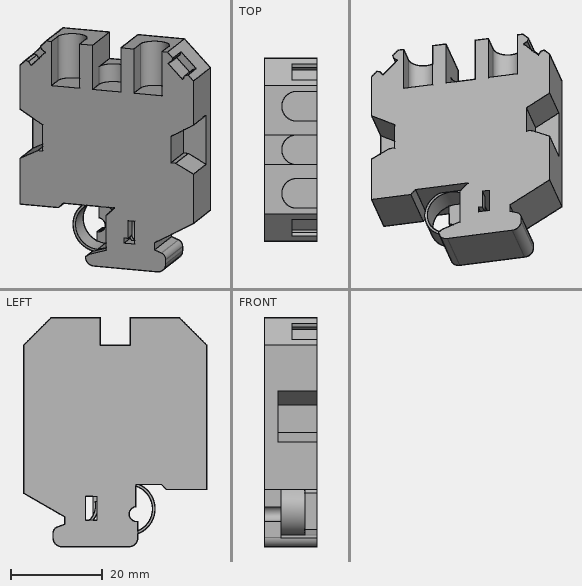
import cadquery as cq

width = 11.5
length = 40.0
height = 50.0
mid_y = length / 2

corner_chamfer = 6.0
top_slot_width = 6.5
top_slot_depth = 6.0
body_front_z = 12.5
body_back_z = 11.7
undercut_z = 13.6
undercut_front_y = 8.85
undercut_slope_end_y = 9.9

neck_front_y = 15.5
foot_front_y = 15.05
foot_back_y = 33.6
neck_back_y = 31.05
neck_back_top_z = 6.55
neck_back_bottom_z = 4.95
foot_shoulder_z = 4.0
foot_radius = 2.0
shoulder_radius = 1.5
notch_radius = 1.6
notch_y = 15.35
notch_z = 7.15

well_width = top_slot_width
well_left_x = 3.8
well_floor_z = 40.0
well_pitch = 9.5

entry_left_x = 3.0
entry_depth = 5.2
entry_top_z = 34.0
entry_roof_back_z = 30.95
entry_floor_z = 25.0
entry_sill_z = 22.9
entry_sill_depth = 4.1

marker_left_x = 6.0
marker_lip_margin = 1.25
marker_wall_drop = 2.0
marker_wall_inset = 1.0
marker_floor_drop = 2.55
marker_floor_inset = 0.15

chamber_left_x = 3.6
chamber_back_y = 19.85
chamber_step_y = 16.0
chamber_lip_z = 1.95
chamber_step_z = 2.6
chamber_rear_floor_z = 3.85
chamber_rear_top_z = 11.75

window_front_y = 24.0
window_back_y = 26.45
window_bottom_z = 5.85
window_top_z = 11.0
stop_back_y = 24.9
stop_bottom_z = 7.0

spring_width = 5.25
spring_right_x = chamber_left_x + spring_width
spring_thickness = 0.6
spring_radius = 5.8
spring_y = 17.1
spring_z = 8.3
pad_front_y = 16.95
pad_back_y = 18.9
pad_front_z = 3.1
pad_back_z = 3.65
tail_radius = 4.65
tail_z = 9.0
tail_top_z = 9.9


def prism(points, start_x, end_x):
    """Extrude a closed (y, z) outline from start_x to end_x."""
    return cq.Workplane("YZ", origin=(start_x, 0, 0)).polyline(points).close().extrude(end_x - start_x)


def disc(center_y, center_z, radius, start_x, end_x):
    """Solid cylinder along X."""
    sketch = cq.Workplane("YZ", origin=(start_x, 0, 0)).center(center_y, center_z)
    return sketch.circle(radius).extrude(end_x - start_x)


def block(start, end):
    """Box between two opposite corners."""
    size = [high - low for low, high in zip(start, end)]
    return cq.Workplane("XY").box(*size, centered=False).translate(start)


def mirrored_pair(solid):
    """The solid together with its mirror image about the middle of the length."""
    return solid.union(solid.mirror("XZ", (0, mid_y, 0)))


def round_edge(solid, y, z, radius):
    """Fillet the edge along X that passes through (y, z)."""
    edge = cq.selectors.NearestToPointSelector((width / 2, y, z))
    return solid.edges("|X").edges(edge).fillet(radius)


def make_body():
    """Side outline of the block at full thickness, with the foot corners rounded."""
    slot_front_y = mid_y - top_slot_width / 2
    slot_back_y = mid_y + top_slot_width / 2
    slot_floor_z = height - top_slot_depth
    shoulder_z = height - corner_chamfer
    outline = [
        (0, body_front_z),
        (0, shoulder_z),
        (corner_chamfer, height),
        (slot_front_y, height),
        (slot_front_y, slot_floor_z),
        (slot_back_y, slot_floor_z),
        (slot_back_y, height),
        (length - corner_chamfer, height),
        (length, shoulder_z),
        (length, body_back_z),
        (neck_back_y, neck_back_top_z),
        (neck_back_y, neck_back_bottom_z),
        (foot_back_y, foot_shoulder_z),
        (foot_back_y, 0),
        (foot_front_y, 0),
        (foot_front_y, notch_z - notch_radius),
        (neck_front_y, notch_z - notch_radius),
        (neck_front_y, undercut_z),
        (undercut_slope_end_y, undercut_z),
        (undercut_front_y, body_front_z),
    ]
    body = prism(outline, 0, width)
    body = round_edge(body, foot_front_y, 0, foot_radius)
    body = round_edge(body, foot_back_y, 0, foot_radius)
    body = round_edge(body, foot_back_y, foot_shoulder_z, shoulder_radius)
    return body.cut(disc(notch_y, notch_z, notch_radius, 0, width))


def screw_well(center_y):
    """Well open at the top and at x = width, with a half-round closed end."""
    radius = well_width / 2
    arc_x = well_left_x + radius
    well = (
        cq.Workplane("XY", origin=(0, center_y, well_floor_z))
        .moveTo(width, -radius)
        .lineTo(arc_x, -radius)
        .threePointArc((well_left_x, 0), (arc_x, radius))
        .lineTo(width, radius)
        .close()
    )
    return well.extrude(height - well_floor_z)


def wire_entry():
    """Funnel-shaped opening in the front end, open at x = width."""
    outline = [
        (0, entry_sill_z),
        (entry_sill_depth, entry_floor_z),
        (entry_depth, entry_floor_z),
        (entry_depth, entry_roof_back_z),
        (0, entry_top_z),
    ]
    return prism(outline, entry_left_x, width)


def marker_pocket():
    """Pocket sunk square to the chamfer, its end walls closing in towards the floor."""
    lip_y = corner_chamfer - marker_lip_margin
    upper_end = [
        (lip_y, height - marker_lip_margin),
        (corner_chamfer - marker_wall_inset, height - marker_wall_drop),
        (corner_chamfer - marker_floor_inset, height - marker_floor_drop),
    ]
    lower_end = [(height - z, height - y) for y, z in reversed(upper_end)]
    return prism(upper_end + lower_end, marker_left_x, width)


def spring_chamber():
    """Chamber open to the front and at x = width, its rear wall leaning back at the top."""
    lean = undercut_z - chamber_rear_top_z
    outline = [
        (foot_front_y, chamber_lip_z),
        (chamber_step_y, chamber_step_z),
        (chamber_back_y, chamber_rear_floor_z),
        (chamber_back_y, chamber_rear_top_z),
        (chamber_back_y + lean, undercut_z),
        (foot_front_y, undercut_z),
    ]
    return prism(outline, chamber_left_x, width)


def curved_strip(center_y, center_z, outer_radius):
    """Full ring of spring strip."""
    outer = disc(center_y, center_z, outer_radius, chamber_left_x, spring_right_x)
    inner_radius = outer_radius - spring_thickness
    return outer.cut(disc(center_y, center_z, inner_radius, chamber_left_x, spring_right_x))


def spring():
    """Round strip with a flat pad on the chamber floor, and a flared tail in the window."""
    ring = curved_strip(spring_y, spring_z, spring_radius)
    pad = [
        (pad_front_y, pad_front_z),
        (pad_back_y, pad_back_z),
        (pad_back_y, pad_back_z - spring_thickness),
        (pad_front_y, pad_front_z - spring_thickness),
    ]
    ring = ring.union(prism(pad, chamber_left_x, spring_right_x))

    tail_y = window_front_y + tail_radius
    tail = curved_strip(tail_y, tail_z, tail_radius + spring_thickness / 2)
    tail_end = (spring_right_x, window_back_y, tail_top_z)
    tail_space = block((chamber_left_x, window_front_y, window_bottom_z), tail_end)
    return ring.union(tail.intersect(tail_space))


def window():
    """Slot through the foot, narrowed beyond the spring by a stop on its front wall."""
    slot = block((0, window_front_y, window_bottom_z), (width, window_back_y, window_top_z))
    stop = block((spring_right_x, window_front_y, stop_bottom_z), (width, stop_back_y, window_top_z))
    return slot.cut(stop)


result = make_body()
for offset in (-well_pitch, 0, well_pitch):
    result = result.cut(screw_well(mid_y + offset))
result = result.cut(mirrored_pair(wire_entry()))
result = result.cut(mirrored_pair(marker_pocket()))
result = result.cut(spring_chamber())
result = result.cut(window())
result = result.union(spring())